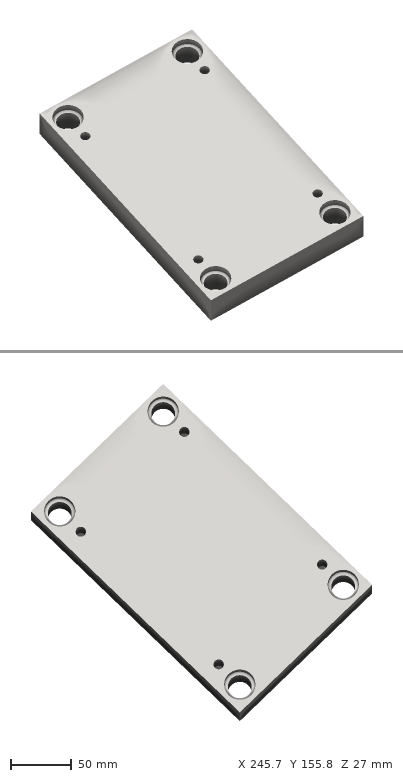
import cadquery as cq
import math

length = 245.7
width = 155.8
thickness = 27.0

edge_margin = 17.0
bolt_diameter = 20.0
counterbore_diameter = 26.0
counterbore_depth = 6.5

drill_diameter = 8.5
drill_depth = 19.7
drill_tip_angle = 120.0
drill_spacing_x = 162.2

bolt_spacing_x = length - 2 * edge_margin
hole_spacing_y = width - 2 * edge_margin


def make_plate():
    return cq.Workplane("XY").box(length, width, thickness, centered=(True, True, False))


def cut_counterbored_holes(body):
    return (
        body.faces(">Z").workplane(origin=(0, 0, thickness))
        .rect(bolt_spacing_x, hole_spacing_y, forConstruction=True)
        .vertices()
        .cboreHole(bolt_diameter, counterbore_diameter, counterbore_depth)
    )


def make_drill():
    """Solid of revolution of one drilled hole, with its mouth at the origin."""
    radius = drill_diameter / 2
    tip_height = radius / math.tan(math.radians(drill_tip_angle / 2))
    return (
        cq.Workplane("XZ")
        .polyline([(0, 0), (radius, 0), (radius, -drill_depth), (0, -drill_depth - tip_height)])
        .close()
        .revolve(360, (0, 0), (0, 1))
    )


def cut_drilled_holes(body):
    drill = make_drill()
    for side_x in (-1, 1):
        for side_y in (-1, 1):
            place = (side_x * drill_spacing_x / 2, side_y * hole_spacing_y / 2, thickness)
            body = body.cut(drill.translate(place))
    return body


result = cut_drilled_holes(cut_counterbored_holes(make_plate()))